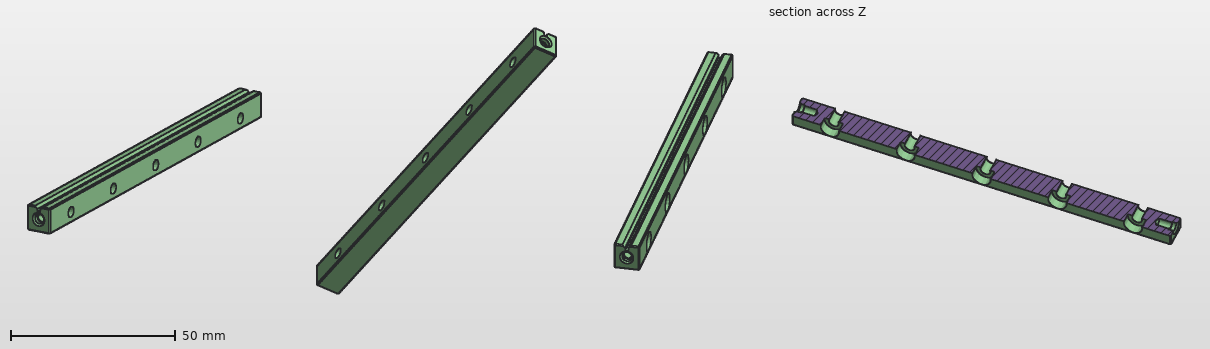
import cadquery as cq
import math

length = 125.0
width = 8.0
height = 8.2
edge_chamfer = 0.4

groove_mouth_width = 2.8
slot_width = 1.0
slot_floor_depth = 1.8

mount_count = 5
mount_pitch = 25.0
mount_height = 3.5
mount_diameter = 3.2
counterbore_diameter = 6.0
counterbore_depth = 3.1

end_hole_height = height / 2
end_hole_diameter = 2.5
end_hole_depth = 6.0
step_diameter = 3.1
step_depth = 1.9
drill_tip_angle = 118.0
countersink_diameter = 4.2
countersink_angle = 90.0


def make_body():
    """Plain bar with every outer edge chamfered, resting on Z = 0."""
    bar = cq.Workplane("XY").box(width, length, height, centered=(True, True, False))
    return bar.edges().chamfer(edge_chamfer)


def make_groove():
    """Cutter for the groove that runs the full length of the top face."""
    half_mouth = groove_mouth_width / 2
    half_slot = slot_width / 2
    flank_bottom = height - (half_mouth - half_slot)
    slot_floor = height - slot_floor_depth
    profile = [
        (-half_mouth, height),
        (-half_slot, flank_bottom),
        (-half_slot, slot_floor),
        (half_slot, slot_floor),
        (half_slot, flank_bottom),
        (half_mouth, height),
    ]
    return cq.Workplane("XZ").polyline(profile).close().extrude(length / 2, both=True)


def make_mount_hole(y):
    """Cutter for one through hole, counterbored from the -X side."""
    side = cq.Workplane("YZ", origin=(-width / 2, y, mount_height))
    hole = side.circle(mount_diameter / 2).extrude(width)
    return hole.union(side.circle(counterbore_diameter / 2).extrude(counterbore_depth))


def make_end_hole():
    """Cutter for the blind hole in the -Y end, revolved about its own axis."""
    radius = end_hole_diameter / 2
    sink_radius = countersink_diameter / 2
    step_radius = step_diameter / 2
    sink_depth = (sink_radius - step_radius) / math.tan(math.radians(countersink_angle / 2))
    tip_length = radius / math.tan(math.radians(drill_tip_angle / 2))
    profile = [
        (0, 0),
        (sink_radius, 0),
        (step_radius, sink_depth),
        (step_radius, step_depth),
        (radius, step_depth),
        (radius, end_hole_depth),
        (0, end_hole_depth + tip_length),
    ]
    plane = cq.Workplane("XY", origin=(0, -length / 2, end_hole_height))
    return plane.polyline(profile).close().revolve(360, (0, 0, 0), (0, 1, 0))


result = make_body().cut(make_groove())

for index in range(mount_count):
    mount_y = (index - (mount_count - 1) / 2) * mount_pitch
    result = result.cut(make_mount_hole(mount_y))

end_hole = make_end_hole()
result = result.cut(end_hole).cut(end_hole.mirror("XZ"))